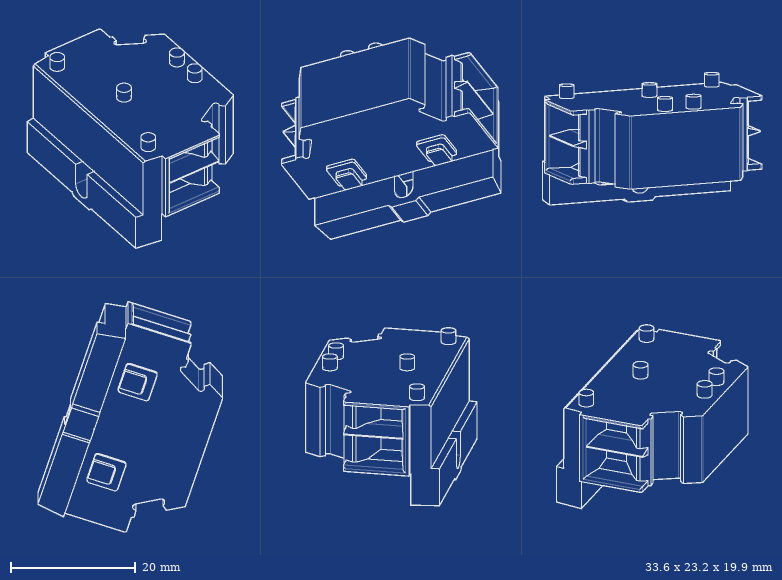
import cadquery as cq
import math

half_width = 16.8
height = 12.0
depth = 23.2
shoulder_y = 15.55
step_y = 4.7
nose_half_width = 15.87
front_half_width = 15.15
corner_radius = 0.4
front_chamfer_y = 0.4
front_chamfer_z = 0.25

rear_half_width = 9.65
rear_edge_radius = 0.3
hook_tip = (11.2, 20.48)
hook_lip = (10.57, 19.7)
upper_groove_center = (10.15, 19.3)
upper_groove_radius = 0.55
lower_groove_radius = 0.5
lower_groove_side = 12.7
flank_angle = 30.0
bump_inner_y = 15.86
bump_outer = (13.88, 15.97)

foot_depth = 4.62
foot_top = 1.04
foot_bottom = -5.37
foot_setback = 1.33
tab_bottom = -5.9
tab_half_width_top = 2.7
tab_half_width_bottom = 2.15
slot_radius = 1.6
slot_center_z = -2.98

pin_radius = 1.19
pin_height = 2.0
pin_points = [(-2.5, 20.6), (2.5, 20.6), (0, 8.4), (-12.7, 4.2), (12.7, 4.2)]

chamber_bottom = 0.95
chamber_top = 11.3
chamber_floor_x = 11.0
chamber_floor_bottom = 2.0
chamber_floor_top = 10.43
chamber_floor_front = 7.0
chamber_floor_rear = 10.5
chamber_ramp_x = 13.0
chamber_front = 5.65
sill_x = 14.75
sill_front = 13.8
sill_rear = 14.4
mouth_radius = 0.45
divider_z = 6.25
divider_tip_x = 16.4
divider_tip_thickness = 0.16
divider_root_x = 13.2
divider_root_thickness = 1.8

pad_x = 8.0
pad_width = 5.0
pad_front = 6.65
pad_rear = 11.9
pad_height = 0.6
pad_radius = 0.5
peg_rear = 10.45
peg_bottom = -1.6
peg_width = 3.0
peg_radius = 0.6
peg_chamfer = 0.2


def on_circle(center, radius, angle):
    """Point on a circle, with the angle in degrees from +X."""
    turn = math.radians(angle)
    return (center[0] + radius * math.cos(turn), center[1] + radius * math.sin(turn))


def round_edge_at(body, point, radius):
    """Fillet the edge whose centre is nearest to the point."""
    return body.edges(cq.selectors.NearestToPointSelector(point)).fillet(radius)


def both_sides(shape):
    return shape.union(shape.mirror("YZ"))


def tapered_front_points(rear_y):
    """Half outline of the tapered front, from the centre plane to rear_y."""
    taper = (nose_half_width - front_half_width) / step_y
    return [(0, 0), (front_half_width, 0), (front_half_width + taper * rear_y, rear_y)]


def make_block():
    normal = on_circle((0, 0), 1, flank_angle)
    tangent_angle = 180 + flank_angle
    lower_x = lower_groove_side - lower_groove_radius
    upper_offset = upper_groove_center[0] * normal[0] + upper_groove_center[1] * normal[1]
    lower_offset = upper_offset - upper_groove_radius + lower_groove_radius
    lower_center = (lower_x, (lower_offset - lower_x * normal[0]) / normal[1])
    lip_angle = math.degrees(math.atan2(
        hook_lip[1] - upper_groove_center[1], hook_lip[0] - upper_groove_center[0]))

    slope = (sill_x - bump_outer[0]) / (bump_outer[1] - sill_rear)
    bump_base_x = bump_outer[0] + slope * (bump_outer[1] - shoulder_y)

    outline = cq.Workplane("XY").polyline(tapered_front_points(step_y))
    outline = (
        outline.lineTo(half_width, step_y)
        .lineTo(half_width, shoulder_y)
        .lineTo(bump_base_x, shoulder_y)
        .lineTo(*bump_outer)
        .lineTo(lower_groove_side, bump_inner_y)
        .lineTo(lower_groove_side, lower_center[1])
        .threePointArc(
            on_circle(lower_center, lower_groove_radius, 270),
            on_circle(lower_center, lower_groove_radius, tangent_angle))
        .lineTo(*on_circle(upper_groove_center, upper_groove_radius, tangent_angle))
        .threePointArc(
            on_circle(upper_groove_center, upper_groove_radius, (tangent_angle + lip_angle) / 2),
            on_circle(upper_groove_center, upper_groove_radius, lip_angle))
        .lineTo(*hook_lip)
        .lineTo(*hook_tip)
        .lineTo(rear_half_width, depth)
        .lineTo(0, depth)
        .close()
    )
    block = outline.extrude(height)
    block = round_edge_at(block, (rear_half_width, depth, height / 2), rear_edge_radius)
    setback = cq.Workplane("XY").box(
        half_width, foot_setback, height, centered=False)
    bevel = (
        cq.Workplane("YZ")
        .moveTo(foot_setback, height)
        .lineTo(foot_setback + front_chamfer_y, height)
        .lineTo(foot_setback, height - front_chamfer_z)
        .close()
        .extrude(half_width)
    )
    return both_sides(block.cut(setback).cut(bevel))


def make_foot():
    outline = cq.Workplane("XY").polyline(tapered_front_points(foot_depth))
    outline = outline.lineTo(0, foot_depth).close()
    foot = both_sides(outline.extrude(foot_top - foot_bottom).translate((0, 0, foot_bottom)))
    tab = (
        cq.Workplane("XZ")
        .polyline([
            (-tab_half_width_top, foot_bottom),
            (tab_half_width_top, foot_bottom),
            (tab_half_width_bottom, tab_bottom),
            (-tab_half_width_bottom, tab_bottom)])
        .close()
        .extrude(-foot_depth)
    )
    return foot.union(tab)


def make_slot():
    return (
        cq.Workplane("XZ")
        .moveTo(-slot_radius, foot_top)
        .lineTo(-slot_radius, slot_center_z)
        .threePointArc((0, slot_center_z - slot_radius), (slot_radius, slot_center_z))
        .lineTo(slot_radius, foot_top)
        .close()
        .extrude(-foot_depth)
    )


def make_chamber():
    """Cavity of the +X wire chamber, open to the side and to the rear."""
    plan = (
        cq.Workplane("XY")
        .moveTo(half_width, chamber_front)
        .lineTo(half_width, bump_outer[1])
        .lineTo(*bump_outer)
        .lineTo(sill_x, sill_rear)
        .lineTo(sill_x, sill_front)
        .lineTo(chamber_floor_x, chamber_floor_rear)
        .lineTo(chamber_floor_x, chamber_floor_front)
        .close()
    )
    section = (
        cq.Workplane("XZ")
        .polyline([
            (chamber_floor_x, chamber_floor_bottom),
            (chamber_ramp_x, chamber_bottom),
            (half_width, chamber_bottom),
            (half_width, chamber_top),
            (chamber_ramp_x, chamber_top),
            (chamber_floor_x, chamber_floor_top)])
        .close()
        .extrude(-depth)
    )
    return plan.extrude(height).intersect(section)


def make_divider(block):
    """Wedge that splits the +X chamber, thickening inwards."""
    tip = divider_tip_thickness / 2
    root = divider_root_thickness / 2
    section = (
        cq.Workplane("XZ")
        .polyline([
            (chamber_floor_x, divider_z - root),
            (divider_root_x, divider_z - root),
            (divider_tip_x, divider_z - tip),
            (divider_tip_x, divider_z + tip),
            (divider_root_x, divider_z + root),
            (chamber_floor_x, divider_z + root)])
        .close()
        .extrude(-depth)
    )
    return section.intersect(make_chamber()).intersect(block)


def round_mouth(body):
    """Round the inner edges of both chamber mouths."""
    mid_y = (chamber_front + shoulder_y) / 2
    for side in (-half_width, half_width):
        for point in (
            (side, mid_y, chamber_bottom),
            (side, mid_y, chamber_top),
            (side, chamber_front, height / 2),
        ):
            body = round_edge_at(body, point, mouth_radius)
    return body


def round_rear_corners(block):
    """Round the vertical rear corners of the wide middle section."""
    for side in (-half_width, half_width):
        block = round_edge_at(block, (side, shoulder_y, height / 2), corner_radius)
    return block


def make_pad():
    """Stepped pad under the +X half of the block."""
    on_front_edge = (True, False, False)
    pad = cq.Workplane("XY").box(pad_width, pad_rear - pad_front, pad_height, centered=on_front_edge)
    pad = pad.edges("|Z").fillet(pad_radius).translate((pad_x, pad_front, -pad_height))
    peg = cq.Workplane("XY").box(peg_width, peg_rear - pad_front, -peg_bottom, centered=on_front_edge)
    peg = peg.edges(">Y and <Z").chamfer(peg_chamfer)
    peg = peg.edges("|Z and >Y").fillet(peg_radius).translate((pad_x, pad_front, peg_bottom))
    return pad.union(peg)


def make_pins():
    return (
        cq.Workplane("XY", origin=(0, 0, height))
        .pushPoints(pin_points)
        .circle(pin_radius)
        .extrude(pin_height)
    )


block = make_block()
rounded_block = round_rear_corners(block)
body = round_mouth(block.cut(both_sides(make_chamber())))
body = body.intersect(rounded_block)
body = body.union(both_sides(make_divider(rounded_block)))
body = body.union(make_foot()).cut(make_slot())
result = body.union(both_sides(make_pad())).union(make_pins())